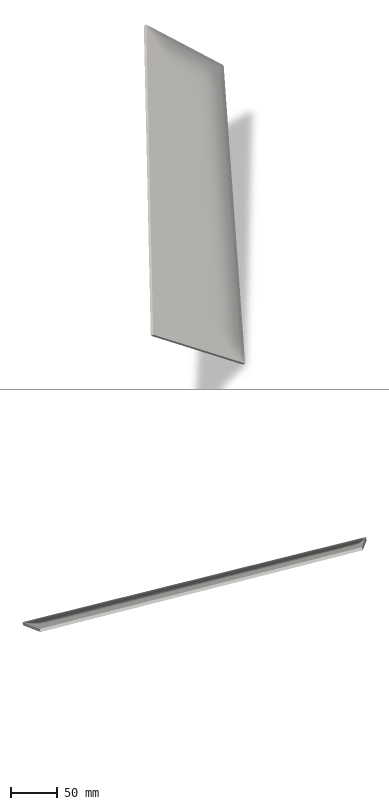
import cadquery as cq

thickness = 3.5

top_corner = cq.Vector(0, 0, 0)
near_corner = cq.Vector(344.5, -158.5, -53.0)
bottom_corner = cq.Vector(349.7, -50.5, -161.0)
far_corner = cq.Vector(22.8, 81.8, -93.5)

upper_plane = cq.Plane(
    origin=top_corner,
    xDir=near_corner,
    normal=near_corner.cross(bottom_corner),
)

outline = []
for corner in (top_corner, near_corner, bottom_corner, far_corner):
    local = upper_plane.toLocalCoords(corner)
    outline.append((local.x, local.y))

result = cq.Workplane(upper_plane).polyline(outline).close().extrude(-thickness)